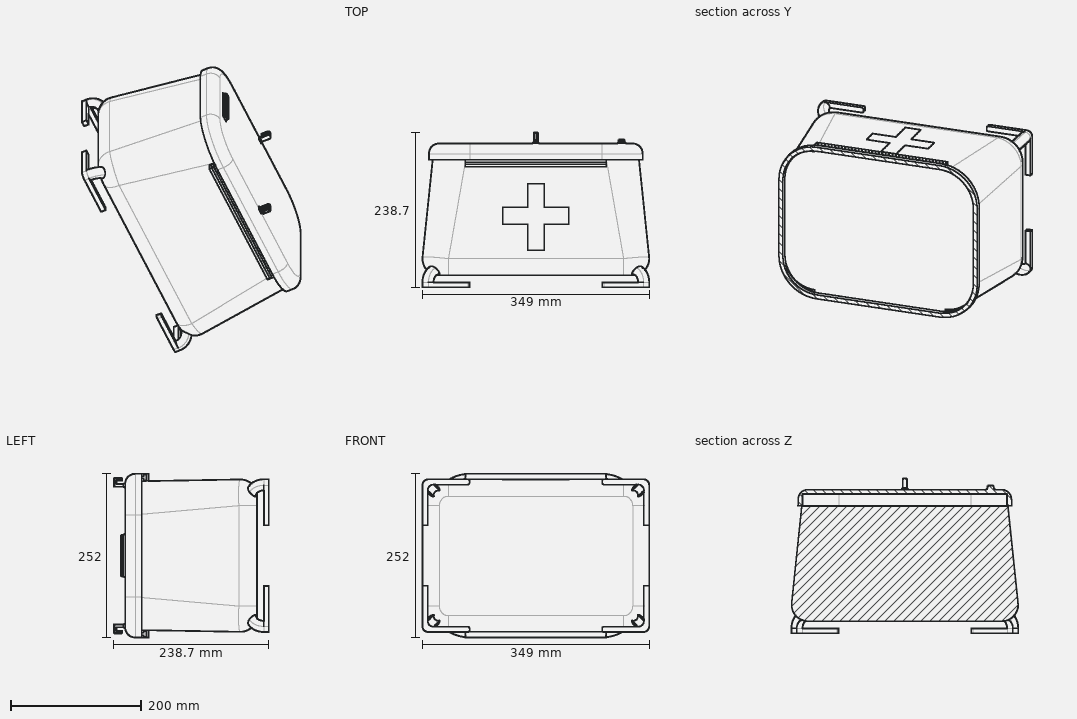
import cadquery as cq
import math


foot_height = 7.7
case_base_y = 18.0
rim_y = 195.8
lid_back_y = 221.3

case_base_size = (354.5, 235.5)
case_base_radius = 38.0
case_rim_size = (317.5, 229.3)
case_rim_radius = 50.5
case_edge_radius = 26.0

cross_length = 102.0
cross_arm_width = 25.5
cross_upright_y = 108.2
cross_bar_y = 110.0
cross_depth = 0.5

foot_span = (349, 235.3)
foot_arm_x = 72.5
foot_arm_z = 71.2
foot_bar_width = 8.5
foot_outer_radius = 9.5
foot_inner_radius = 8.7
foot_tip_radius = 2.8
leg_radius = 8.7
leg_axis_distance = 31.0

lid_size = (328.8, 252.0)
lid_corner_radius = 63
lid_edge_radius = 15.7
lid_wall = 7.5

rail_length = 216.5
rail_depth = 10.8
rail_height = 11.0
rail_root = 1.5
tongue_stem_height = 3.5
tongue_head_height = 8.5
tongue_layer = 3.5

hook_width = 7
hook_thickness = 4.5
hook_foot_z = 105.8
hook_top_z = 120.0
hook_back_y = 238.7
hook_lip_y = 225.5
hook_chamfer = 1.7
root_flare = 1.5
root_height = 2.5

pad_size = (10.0, 65.0)
pad_x = 132.0
pad_height = 6.3
pad_chamfer = 1.7

corners = [(sx, sz) for sx in (-1, 1) for sz in (-1, 1)]
lid_top_z = lid_size[1] / 2
tongue_z = lid_top_z - lid_wall + tongue_stem_height / 2


def box(x_range, y_range, z_range):
    """Axis-aligned box between the given limits."""
    sizes = [high - low for low, high in (x_range, y_range, z_range)]
    corner = (x_range[0], y_range[0], z_range[0])
    return cq.Workplane("XY").box(*sizes, centered=False).translate(corner)


def rounded_rectangle(size, radius):
    return cq.Sketch().rect(*size).vertices().fillet(radius)


def rounded_plate(size, radius, y_start, y_end):
    """Rounded rectangle in XZ, extruded from y_start to y_end."""
    plane = cq.Workplane("XZ", origin=(0, y_end, 0))
    return plane.placeSketch(rounded_rectangle(size, radius)).extrude(y_end - y_start)


def mirrored_pair(shape):
    """The shape and its mirror image in the XY plane."""
    return [shape, shape.mirror("XY")]


def rounded_outline(size, radius, y):
    """Edges of a rounded rectangle in the XZ plane at the given Y, in order."""
    plate = rounded_plate(size, radius, y, y + 3.5)
    return plate.faces("<Y").wires().val().Edges()


def wall_between(lower, upper):
    """Flat wall between two straight edges, or ruled wall between two arcs."""
    if lower.geomType() == "LINE":
        points = [lower.startPoint(), lower.endPoint(), upper.endPoint(), upper.startPoint()]
        return cq.Face.makeFromWires(cq.Wire.makePolygon(points, close=True))
    return cq.Face.makeRuledSurface(lower, upper)


def case_shell():
    """Tapered box that grows towards its rounded base."""
    base = rounded_outline(case_base_size, case_base_radius, case_base_y)
    rim = rounded_outline(case_rim_size, case_rim_radius, rim_y)
    faces = [wall_between(lower, upper) for lower, upper in zip(base, rim)]
    for outline in (base, rim):
        faces.append(cq.Face.makeFromWires(cq.Wire.assembleEdges(outline)))
    solid = cq.Solid.makeSolid(cq.Shell.makeShell(faces))
    return cq.Workplane(solid).faces("<Y").edges().fillet(case_edge_radius)


def cross_recess(shell):
    """Layer of even depth under the sloping upper face, in the shape of a cross."""
    half_arm = cross_arm_width / 2
    half_length = cross_length / 2
    heights = (0, lid_top_z)
    upright_y = (cross_upright_y - half_length, cross_upright_y + half_length)
    bar_y = (cross_bar_y - half_arm, cross_bar_y + half_arm)
    upright = box((-half_arm, half_arm), upright_y, heights)
    bar = box((-half_length, half_length), bar_y, heights)
    return upright.union(bar).cut(shell.translate((0, 0, -cross_depth)))


def foot_angle():
    """Flat-bar angle at the +X +Z corner, rounded inside and outside its bend."""
    x_out = foot_span[0] / 2
    z_out = foot_span[1] / 2
    angle = (
        cq.Workplane("XZ")
        .moveTo(x_out, z_out)
        .hLine(-foot_arm_x)
        .vLine(-foot_bar_width)
        .hLine(foot_arm_x - foot_bar_width)
        .vLine(foot_bar_width - foot_arm_z)
        .hLine(foot_bar_width)
        .close()
        .extrude(-foot_height)
    )
    angle = angle.edges("|Y and >X and >Z").fillet(foot_outer_radius)
    inner_corner = (x_out - foot_bar_width, foot_height / 2, z_out - foot_bar_width)
    angle = angle.edges(cq.NearestToPointSelector(inner_corner)).fillet(foot_inner_radius)
    return angle.edges("|Y and <X").fillet(foot_tip_radius)


def leg(angle):
    """Rounded corner of the angle, turned a quarter circle from +Y towards the middle of the box."""
    x_out = foot_span[0] / 2
    z_out = foot_span[1] / 2
    center = (x_out - leg_radius, 0, z_out - leg_radius)
    disc = cq.Workplane("XZ", origin=center).circle(leg_radius).extrude(-foot_height)
    section = angle.intersect(disc).faces(">Y").val()
    axis_inset = leg_axis_distance / math.sqrt(2)
    axis_x = x_out - axis_inset
    axis_z = z_out - axis_inset
    axis_start = cq.Vector(axis_x, foot_height, axis_z)
    axis_end = axis_start + cq.Vector(-3.5, 0, 3.5)
    return cq.Workplane(cq.Solid.revolve(section, 90, axis_start, axis_end))


def foot(sx, sz):
    """Foot angle with its leg, built at the +X +Z corner and mirrored to the given one."""
    angle = foot_angle()
    part = angle.union(leg(angle))
    if sx < 0:
        part = part.mirror("YZ")
    if sz < 0:
        part = part.mirror("XY")
    return part


def tongue():
    """T-shaped tongue that hangs from the lid rim on the +Z side."""
    x_range = (-rail_length / 2, rail_length / 2)
    head_y = rim_y - tongue_layer
    half_stem = tongue_stem_height / 2
    half_head = tongue_head_height / 2
    stem = box(x_range, (head_y, rim_y), (tongue_z - half_stem, tongue_z + half_stem))
    head = box(x_range, (head_y - tongue_layer, head_y), (tongue_z - half_head, tongue_z + half_head))
    return stem.union(head)


def rail():
    """Bar on the +Z side of the case, flush with the lid, with a slot that fits the tongue."""
    x_range = (-rail_length / 2, rail_length / 2)
    z_range = (lid_top_z - rail_height - rail_root, lid_top_z)
    return box(x_range, (rim_y - rail_depth, rim_y), z_range)


def make_case():
    shell = case_shell()
    case = shell.cut(cross_recess(shell))
    for bar in mirrored_pair(rail()):
        case = case.union(bar)
    for slot in mirrored_pair(tongue()):
        case = case.cut(slot)
    for sx, sz in corners:
        case = case.union(foot(sx, sz))
    return case


def flared_root(size, x, z):
    """Low tapered root on the back of the lid that widens by the flare all round."""
    plane = cq.Workplane("XZ", origin=(x, lid_back_y, z))
    wide = [side + 2 * root_flare for side in size]
    root_taper = math.degrees(math.atan(root_flare / root_height))
    return plane.rect(*wide).extrude(-root_height, taper=root_taper)


def hook():
    """C-shaped hook on the +Z side that opens towards the lid."""
    profile = [
        (lid_back_y, hook_foot_z),
        (hook_back_y, hook_foot_z),
        (hook_back_y, hook_top_z),
        (hook_lip_y, hook_top_z),
        (hook_lip_y, hook_top_z - hook_thickness),
        (hook_back_y - hook_thickness, hook_top_z - hook_thickness),
        (hook_back_y - hook_thickness, hook_foot_z + hook_thickness),
        (lid_back_y, hook_foot_z + hook_thickness),
    ]
    bar = cq.Workplane("YZ").polyline(profile).close().extrude(hook_width / 2, both=True)
    bar = bar.faces(">Y").edges("<X or >X").add(bar.faces(">Z").edges()).chamfer(hook_chamfer)
    root_size = (hook_width, hook_thickness)
    return bar.union(flared_root(root_size, 0, hook_foot_z + hook_thickness / 2))


def latch_pad():
    plane = cq.Workplane("XZ", origin=(pad_x, lid_back_y, 0))
    pad = plane.rect(*pad_size).extrude(-pad_height).faces(">Y").chamfer(pad_chamfer)
    return pad.union(flared_root(pad_size, pad_x, 0))


def make_lid():
    cover = rounded_plate(lid_size, lid_corner_radius, rim_y, lid_back_y)
    cover = cover.faces(">Y").edges().fillet(lid_edge_radius)
    pocket_size = [side - 2 * lid_wall for side in lid_size]
    pocket_radius = lid_corner_radius - lid_wall
    lid = cover.cut(rounded_plate(pocket_size, pocket_radius, rim_y, lid_back_y - lid_wall))
    for part in mirrored_pair(tongue()) + mirrored_pair(hook()):
        lid = lid.union(part)
    return lid.union(latch_pad())


case = make_case()
lid = make_lid()
result = cq.Compound.makeCompound([case.val(), lid.val()])